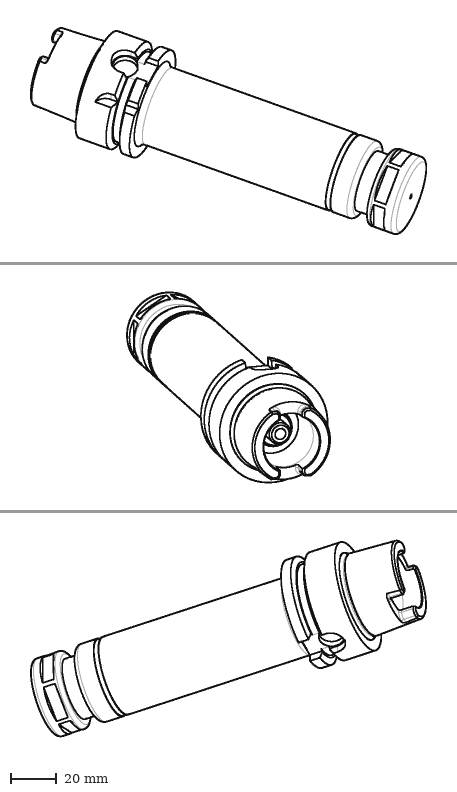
import cadquery as cq
import math

TOTAL_LENGTH = 175.0

SHANK_TIP_RADIUS = 18.0
SHANK_BASE_RADIUS = 19.0
SHANK_LENGTH = 22.8
TIP_CHAMFER = 0.9
UNDERCUT_RADIUS = 18.5
UNDERCUT_LEAD = 0.4

FLANGE_START = 25.0
FLANGE_END = 51.0
FLANGE_RADIUS = 25.0
FACE_RECESS_RADIUS = 20.1
FACE_RECESS_DEPTH = 0.5
GROOVE_RADIUS = 21.0
GROOVE_START = 39.7
GROOVE_END = 46.2
GROOVE_FRONT_SLOPE = 1.5
GROOVE_REAR_SLOPE = 1.2
GROOVE_WALL_RADIUS = 22.0
FLARE_RADIUS = 19.8
FLARE_LENGTH = 3.0

BODY_RADIUS = 18.0
BODY_END = 154.2
BODY_ROUND = 2.1
RING_GROOVE_START = 142.0
RING_GROOVE_END = 144.2
RING_GROOVE_RADIUS = 17.7
NECK_RADIUS = 14.0

NUT_START = 161.2
NUT_RADIUS = BODY_RADIUS
NUT_ROUND = 1.8
NUT_FLAT_COUNT = 6
NUT_FLAT_DISTANCE = 16.1
NUT_FLAT_START = 164.2
NUT_FLAT_END = 169.5
NUT_FLAT_FRONT_RUNOUT = 0.5
NUT_FLAT_REAR_RUNOUT = 0.4

BORE_RADIUS = 13.0
BORE_CHAMFER = 0.4
BORE_STRAIGHT_DEPTH = 9.3
BORE_FLOOR_RADIUS = 11.9
BORE_DEPTH = 26.2
TUBE_COLLAR_RADIUS = 8.0
TUBE_COLLAR_HEIGHT = 3.5
TUBE_COLLAR_CHAMFER = 0.9
TUBE_RADIUS = 4.9
TUBE_HEIGHT = 7.0
TUBE_CHAMFER = 0.9
TUBE_BORE_RADIUS = 2.5
TUBE_BORE_DEPTH = 10.5
COOLANT_RADIUS = 0.96

DRIVE_SLOT_HALF_WIDTH = 5.0
DRIVE_SLOT_STEP_HEIGHT = 15.5
DRIVE_SLOT_EDGE_ROUND = 2.3
DRIVE_SLOT_FLOOR_ROUND = 1.0
UPPER_DRIVE_SLOT_DEPTH = 4.2
LOWER_DRIVE_SLOT_DEPTH = 7.5

KEYWAY_WIDTH = 12.0
KEYWAY_FLOOR = 20.5
KEYWAY_POCKET_FLOOR = 17.5
KEYWAY_POCKET_RADIUS = 5.6
KEYWAY_CENTER_X = 37.8
NOTCH_SIDE = 15.5
NOTCH_FLOOR = 15.5

CLEARANCE = 3.5


def turned_body():
    """Outside of the tool holder, revolved about the X axis."""
    flare_sag = FLARE_RADIUS - BODY_RADIUS
    flare_arc = (FLARE_LENGTH**2 + flare_sag**2) / (2 * flare_sag)
    half_angle = math.asin(FLARE_LENGTH / flare_arc) / 2
    flare_end = FLANGE_END + FLARE_LENGTH
    flare_middle = (
        flare_end - flare_arc * math.sin(half_angle),
        BODY_RADIUS + flare_arc * (1 - math.cos(half_angle)),
    )
    round_offset = 1 - math.sqrt(0.5)
    recess_floor = FLANGE_START + FACE_RECESS_DEPTH
    undercut_round = FACE_RECESS_RADIUS - UNDERCUT_RADIUS
    profile = (
        cq.Workplane("XY")
        .moveTo(0, 0)
        .lineTo(0, SHANK_TIP_RADIUS)
        .lineTo(SHANK_LENGTH, SHANK_BASE_RADIUS)
        .lineTo(SHANK_LENGTH + UNDERCUT_LEAD, UNDERCUT_RADIUS)
        .lineTo(recess_floor - undercut_round, UNDERCUT_RADIUS)
        .threePointArc(
            (recess_floor - undercut_round * round_offset, UNDERCUT_RADIUS + undercut_round * round_offset),
            (recess_floor, FACE_RECESS_RADIUS),
        )
        .lineTo(FLANGE_START, FACE_RECESS_RADIUS)
        .lineTo(FLANGE_START, FLANGE_RADIUS)
        .lineTo(GROOVE_START, FLANGE_RADIUS)
        .lineTo(GROOVE_START + GROOVE_FRONT_SLOPE, GROOVE_WALL_RADIUS)
        .lineTo(GROOVE_START + GROOVE_FRONT_SLOPE, GROOVE_RADIUS)
        .lineTo(GROOVE_END - GROOVE_REAR_SLOPE, GROOVE_RADIUS)
        .lineTo(GROOVE_END - GROOVE_REAR_SLOPE, GROOVE_WALL_RADIUS)
        .lineTo(GROOVE_END, FLANGE_RADIUS)
        .lineTo(FLANGE_END, FLANGE_RADIUS)
        .lineTo(FLANGE_END, FLARE_RADIUS)
        .threePointArc(flare_middle, (flare_end, BODY_RADIUS))
        .lineTo(RING_GROOVE_START, BODY_RADIUS)
        .lineTo(RING_GROOVE_START, RING_GROOVE_RADIUS)
        .lineTo(RING_GROOVE_END, RING_GROOVE_RADIUS)
        .lineTo(RING_GROOVE_END, BODY_RADIUS)
        .lineTo(BODY_END - BODY_ROUND, BODY_RADIUS)
        .threePointArc(
            (BODY_END - BODY_ROUND * round_offset, BODY_RADIUS - BODY_ROUND * round_offset),
            (BODY_END, BODY_RADIUS - BODY_ROUND),
        )
        .lineTo(BODY_END, NECK_RADIUS)
        .lineTo(NUT_START, NECK_RADIUS)
        .lineTo(NUT_START, NUT_RADIUS - NUT_ROUND)
        .threePointArc(
            (NUT_START + NUT_ROUND * round_offset, NUT_RADIUS - NUT_ROUND * round_offset),
            (NUT_START + NUT_ROUND, NUT_RADIUS),
        )
        .lineTo(TOTAL_LENGTH - NUT_ROUND, NUT_RADIUS)
        .threePointArc(
            (TOTAL_LENGTH - NUT_ROUND * round_offset, NUT_RADIUS - NUT_ROUND * round_offset),
            (TOTAL_LENGTH, NUT_RADIUS - NUT_ROUND),
        )
        .lineTo(TOTAL_LENGTH, 0)
        .close()
    )
    return profile.revolve(360, (0, 0, 0), (1, 0, 0))


def shank_bore():
    """Space inside the shank around the coolant tube, revolved about the X axis."""
    collar_top = BORE_DEPTH - TUBE_COLLAR_HEIGHT
    tube_tip = collar_top - TUBE_HEIGHT
    outline = [
        (0, 0),
        (0, BORE_RADIUS + BORE_CHAMFER),
        (BORE_CHAMFER, BORE_RADIUS),
        (BORE_STRAIGHT_DEPTH, BORE_RADIUS),
        (BORE_DEPTH, BORE_FLOOR_RADIUS),
        (BORE_DEPTH, TUBE_COLLAR_RADIUS),
        (collar_top + TUBE_COLLAR_CHAMFER, TUBE_COLLAR_RADIUS),
        (collar_top, TUBE_COLLAR_RADIUS - TUBE_COLLAR_CHAMFER),
        (collar_top, TUBE_RADIUS),
        (tube_tip + TUBE_CHAMFER, TUBE_RADIUS),
        (tube_tip, TUBE_RADIUS - TUBE_CHAMFER),
        (tube_tip, TUBE_BORE_RADIUS),
        (tube_tip + TUBE_BORE_DEPTH, TUBE_BORE_RADIUS),
        (tube_tip + TUBE_BORE_DEPTH, COOLANT_RADIUS),
        (TOTAL_LENGTH, COOLANT_RADIUS),
        (TOTAL_LENGTH, 0),
    ]
    return cq.Workplane("XY").polyline(outline).close().revolve(360, (0, 0, 0), (1, 0, 0))


def drive_slot(depth):
    """Cutter for the upper driving slot: a narrow slot whose rounded edges open into a wide flat cut."""
    outer = SHANK_BASE_RADIUS + CLEARANCE
    edge_center_y = DRIVE_SLOT_HALF_WIDTH + DRIVE_SLOT_EDGE_ROUND
    edge_center_z = DRIVE_SLOT_STEP_HEIGHT - DRIVE_SLOT_EDGE_ROUND
    arc_offset = DRIVE_SLOT_EDGE_ROUND * math.sqrt(0.5)
    arc_middle = (edge_center_y - arc_offset, edge_center_z + arc_offset)
    return (
        cq.Workplane("YZ")
        .moveTo(-DRIVE_SLOT_HALF_WIDTH, 0)
        .lineTo(DRIVE_SLOT_HALF_WIDTH, 0)
        .lineTo(DRIVE_SLOT_HALF_WIDTH, edge_center_z)
        .threePointArc(arc_middle, (edge_center_y, DRIVE_SLOT_STEP_HEIGHT))
        .lineTo(outer, DRIVE_SLOT_STEP_HEIGHT)
        .lineTo(outer, outer)
        .lineTo(-outer, outer)
        .lineTo(-outer, DRIVE_SLOT_STEP_HEIGHT)
        .lineTo(-edge_center_y, DRIVE_SLOT_STEP_HEIGHT)
        .threePointArc((-arc_middle[0], arc_middle[1]), (-DRIVE_SLOT_HALF_WIDTH, edge_center_z))
        .close()
        .extrude(depth)
        .faces(">X")
        .edges()
        .fillet(DRIVE_SLOT_FLOOR_ROUND)
    )


def round_ended_slot(center_y, floor):
    """Vertical milling cut with a round end, running out through the rear of the flange."""
    height = FLANGE_RADIUS + CLEARANCE - floor
    run = FLANGE_END - KEYWAY_CENTER_X
    plane = cq.Workplane("XY", origin=(KEYWAY_CENTER_X, center_y, floor))
    round_end = plane.circle(KEYWAY_WIDTH / 2).extrude(height)
    straight = plane.rect(2 * run, KEYWAY_WIDTH).extrude(height)
    ahead = plane.center(-run, 0).rect(2 * run, KEYWAY_WIDTH).extrude(height)
    return round_end.union(straight.cut(ahead))


def keyway():
    """Flange keyway on the +Z side with a slightly deeper round pocket at its end."""
    pocket = (
        cq.Workplane("XY", origin=(KEYWAY_CENTER_X, 0, KEYWAY_POCKET_FLOOR))
        .circle(KEYWAY_POCKET_RADIUS)
        .extrude(FLANGE_RADIUS)
    )
    return round_ended_slot(0, KEYWAY_FLOOR).union(pocket)


def nut_flat():
    """Cutter for the wrench flat on the +Y side of the nut, with sloped ends."""
    outer = NUT_RADIUS + CLEARANCE
    slope_height = NUT_RADIUS - NUT_FLAT_DISTANCE
    front_run = NUT_FLAT_FRONT_RUNOUT * (outer - NUT_FLAT_DISTANCE) / slope_height
    rear_run = NUT_FLAT_REAR_RUNOUT * (outer - NUT_FLAT_DISTANCE) / slope_height
    outline = [
        (NUT_FLAT_START, NUT_FLAT_DISTANCE),
        (NUT_FLAT_END, NUT_FLAT_DISTANCE),
        (NUT_FLAT_END + rear_run, outer),
        (NUT_FLAT_START - front_run, outer),
    ]
    return cq.Workplane("XY").polyline(outline).close().extrude(NUT_RADIUS, both=True)


def turn_about_axis(cutter, angle):
    return cutter.rotate((0, 0, 0), (1, 0, 0), angle)


result = turned_body()

result = result.cut(drive_slot(UPPER_DRIVE_SLOT_DEPTH))
result = result.cut(turn_about_axis(drive_slot(LOWER_DRIVE_SLOT_DEPTH), 180))
result = result.faces("<X").edges().chamfer(TIP_CHAMFER)
result = result.cut(shank_bore())

for keyway_angle in (0, 180):
    result = result.cut(turn_about_axis(keyway(), keyway_angle))

result = result.cut(round_ended_slot(-NOTCH_SIDE - KEYWAY_WIDTH / 2, NOTCH_FLOOR))

for flat in range(NUT_FLAT_COUNT):
    result = result.cut(turn_about_axis(nut_flat(), flat * 360 / NUT_FLAT_COUNT))